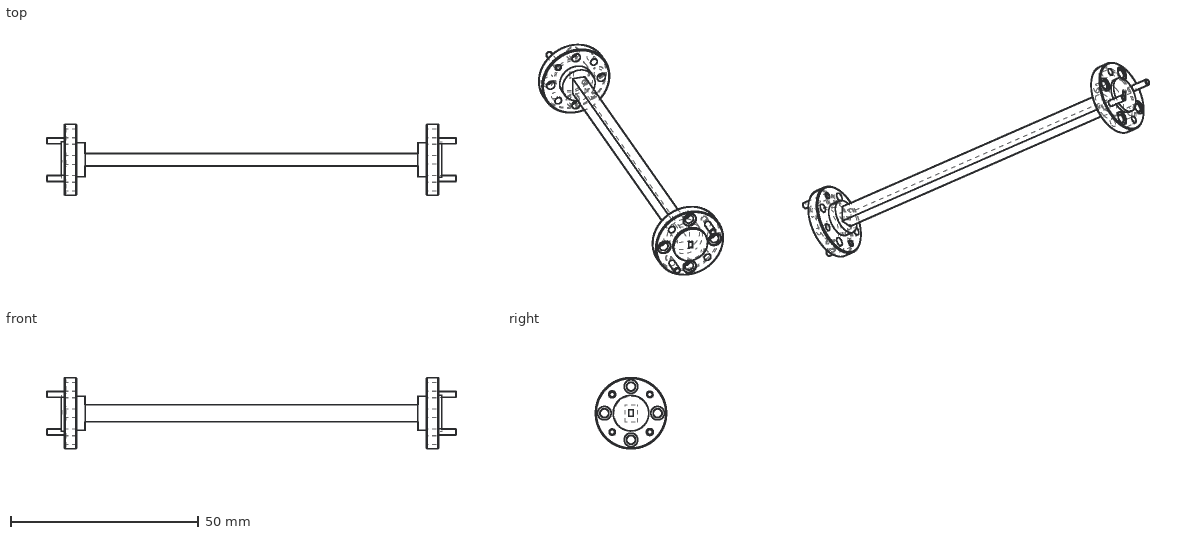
import cadquery as cq
import math

TOTAL_LENGTH = 109.4
PIN_TIP_X = TOTAL_LENGTH / 2
END_ANGLES = (0, 180)

FLANGE_DIAMETER = 19.0
PIN_REACH = 4.7
FLANGE_THICKNESS = 3.3
OUTER_CHAMFER = 0.2
INNER_CHAMFER = 0.27
BOSS_DIAMETER = 9.5
BOSS_HEIGHT = 0.9
HUB_DIAMETER = 9.2
HUB_LENGTH = 2.3

OUTER_FACE_X = PIN_TIP_X - PIN_REACH
INNER_FACE_X = OUTER_FACE_X - FLANGE_THICKNESS
BOSS_FACE_X = OUTER_FACE_X + BOSS_HEIGHT
HUB_FACE_X = INNER_FACE_X - HUB_LENGTH

TUBE_WIDTH = 3.4
TUBE_HEIGHT = 4.6

PORT_WIDTH = 1.1
PORT_HEIGHT = 1.7
PORT_DEPTH = 0.2

HOLE_CIRCLE_RADIUS = 7.1
SCREW_HOLE_DIAMETER = 2.3
COUNTERBORE_DIAMETER = 3.6
COUNTERBORE_DEPTH = 0.4
SCREW_ANGLES = (0, 90, 180, 270)
PIN_DIAMETER = 1.6
PIN_CHAMFER = 0.16
PIN_ANGLES = (45, 225)
OPEN_ANGLES = (135, 315)
OPEN_HOLE_DIAMETER = 1.9


def disc(diameter, start_x, end_x, angle=None):
    """Cylinder along X, on the axis or at an angle from +Y on the hole circle."""
    y, z = 0, 0
    if angle is not None:
        y = HOLE_CIRCLE_RADIUS * math.cos(math.radians(angle))
        z = HOLE_CIRCLE_RADIUS * math.sin(math.radians(angle))
    return (
        cq.Workplane("YZ", origin=(start_x, y, z))
        .circle(diameter / 2)
        .extrude(end_x - start_x)
    )


def cut_port(flange):
    """Shallow rectangular recess in the boss face."""
    port = (
        cq.Workplane("YZ", origin=(BOSS_FACE_X - PORT_DEPTH, 0, 0))
        .rect(PORT_WIDTH, PORT_HEIGHT)
        .extrude(PORT_DEPTH)
    )
    return flange.cut(port)


def cut_holes(flange):
    """Counterbored screw holes, pin holes and open alignment holes, all through."""
    counterbore_floor_x = OUTER_FACE_X - COUNTERBORE_DEPTH
    for angle in SCREW_ANGLES:
        flange = flange.cut(disc(SCREW_HOLE_DIAMETER, INNER_FACE_X, OUTER_FACE_X, angle))
        flange = flange.cut(disc(COUNTERBORE_DIAMETER, counterbore_floor_x, OUTER_FACE_X, angle))
    for angle in PIN_ANGLES:
        flange = flange.cut(disc(PIN_DIAMETER, INNER_FACE_X, OUTER_FACE_X, angle))
    for angle in OPEN_ANGLES:
        flange = flange.cut(disc(OPEN_HOLE_DIAMETER, INNER_FACE_X, OUTER_FACE_X, angle))
    return flange


def make_flange():
    """Flange at the +X end with its boss, hub, port recess and holes."""
    flange = disc(FLANGE_DIAMETER, INNER_FACE_X, OUTER_FACE_X)
    flange = flange.faces("<X").chamfer(INNER_CHAMFER)
    flange = flange.faces(">X").chamfer(OUTER_CHAMFER)
    flange = flange.union(disc(BOSS_DIAMETER, OUTER_FACE_X, BOSS_FACE_X))
    flange = flange.union(disc(HUB_DIAMETER, HUB_FACE_X, INNER_FACE_X))
    flange = cut_port(flange)
    return cut_holes(flange)


def turned(body, end_angle):
    """Turn a +X end body about Z to the end it belongs to."""
    return body.rotate((0, 0, 0), (0, 0, 1), end_angle)


def make_waveguide():
    """Tube with a flange at each end, in one piece."""
    waveguide = cq.Workplane("XY").box(2 * HUB_FACE_X, TUBE_WIDTH, TUBE_HEIGHT)
    for end_angle in END_ANGLES:
        waveguide = waveguide.union(turned(make_flange(), end_angle))
    return waveguide


def make_pin(angle):
    """Alignment pin of the +X flange, flush with the inner face, chamfered at both ends."""
    pin = disc(PIN_DIAMETER, INNER_FACE_X, PIN_TIP_X, angle)
    return pin.faces("<X or >X").chamfer(PIN_CHAMFER)


waveguide = make_waveguide()
pins = []
for end_angle in END_ANGLES:
    for angle in PIN_ANGLES:
        pins.append(turned(make_pin(angle), end_angle).val())

result = cq.Compound.makeCompound([waveguide.val(), *pins])